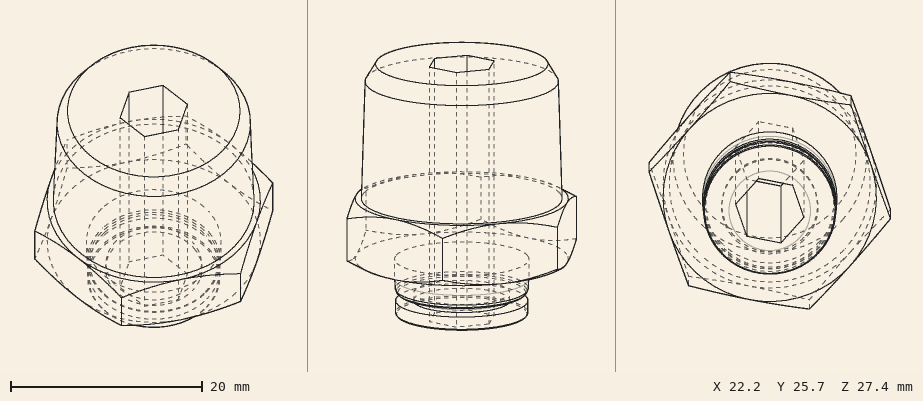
import cadquery as cq
import math

ring_edge_z = 0.5
ring_side_z = 0.63
ring_top_z = 1.95
neck_flare_z = 2.22
sleeve_bottom_z = 2.8
sleeve_bevel_z = 2.95
sleeve_side_z = 3.23
sleeve_taper_z = 4.3
hex_bottom_z = 6.4
hex_top_z = 12.9
thread_chamfer_z = 25.55
total_height = 27.4

ring_face_diameter = 8.5
ring_edge_diameter = 13.6
ring_diameter = 13.8
neck_diameter = 9.95
neck_base_diameter = 10.05
sleeve_end_diameter = 13.3
sleeve_bevel_diameter = 13.65
sleeve_diameter = 13.86
body_diameter = 14.0
thread_base_diameter = 20.93
thread_tip_diameter = 20.17
thread_face_diameter = 17.97

hex_flats = 22.22
socket_flats = 6.27
hex_chamfer_angle = 30.0


def hexagon(flats, bottom, top):
    """Hexagonal prism with two flats facing +X and -X."""
    corner_diameter = flats / math.cos(math.pi / 6)
    return (
        cq.Workplane("XY")
        .workplane(offset=bottom)
        .transformed(rotate=(0, 0, 30))
        .polygon(6, corner_diameter)
        .extrude(top - bottom)
    )


def revolve_profile(stations):
    """Turned solid through (diameter, height) stations from bottom to top."""
    outline = [(0, stations[0][1])]
    outline += [(diameter / 2, z) for diameter, z in stations]
    outline.append((0, stations[-1][1]))
    return cq.Workplane("XZ").polyline(outline).close().revolve(360, (0, 0), (0, 1))


def chamfered_hexagon():
    """Wrench hexagon whose corners are turned off conically at both ends."""
    corner_radius = hex_flats / 2 / math.cos(math.pi / 6)
    corner_excess = corner_radius - hex_flats / 2
    corner_drop = corner_excess * math.tan(math.radians(hex_chamfer_angle))
    envelope = revolve_profile([
        (hex_flats, hex_bottom_z),
        (2 * corner_radius, hex_bottom_z + corner_drop),
        (2 * corner_radius, hex_top_z - corner_drop),
        (hex_flats, hex_top_z),
    ])
    return hexagon(hex_flats, hex_bottom_z, hex_top_z).intersect(envelope)


core = revolve_profile([
    (ring_face_diameter, 0),
    (ring_edge_diameter, ring_edge_z),
    (ring_diameter, ring_side_z),
    (ring_diameter, ring_top_z),
    (neck_base_diameter, ring_top_z),
    (neck_diameter, neck_flare_z),
    (neck_diameter, sleeve_bottom_z),
    (sleeve_end_diameter, sleeve_bottom_z),
    (sleeve_bevel_diameter, sleeve_bevel_z),
    (sleeve_diameter, sleeve_side_z),
    (body_diameter, sleeve_taper_z),
    (body_diameter, hex_top_z),
    (thread_base_diameter, hex_top_z),
    (thread_tip_diameter, thread_chamfer_z),
    (thread_face_diameter, total_height),
])

socket = hexagon(socket_flats, 0, total_height)

result = core.union(chamfered_hexagon()).cut(socket)